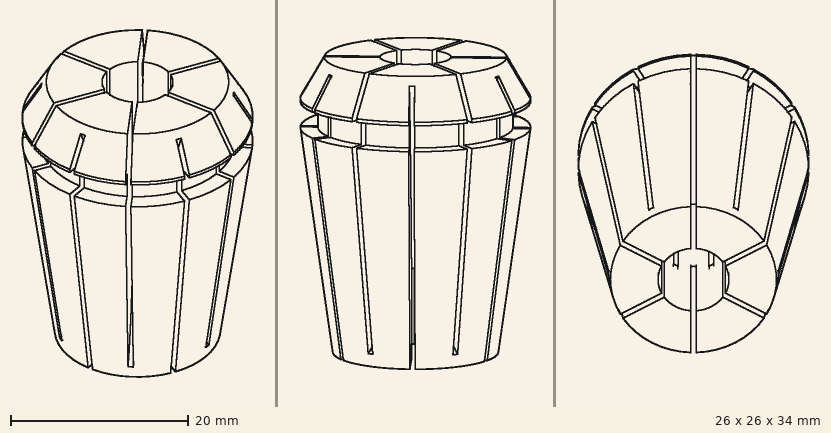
import cadquery as cq
import math

height = 34.0
max_radius = 13.0
bore_radius = 4.0

taper_angle = 8.0
nose_angle = 30.0
groove_bottom_z = 25.9
groove_top_z = 28.9
groove_radius = 11.0
rim_height = 0.4
rim_top_z = groove_top_z + rim_height
small_end_radius = max_radius - groove_bottom_z * math.tan(math.radians(taper_angle))
nose_radius = max_radius - (height - rim_top_z) * math.tan(math.radians(nose_angle))

slot_width = 0.6
slots_per_set = 6
slot_pitch = 360.0 / slots_per_set
slot_reach = max_radius + 2.0
end_clearance = 3.0

nose_slot_arc_radius = 12.5
nose_slot_arc_center_r = 16.3
nose_slot_arc_center_z = 12.05

end_slot_arc_center_z = -2.4
end_slot_bore_z = 10.5
nose_land = 1.0
end_slot_nose_z = height - nose_land
end_slot_nose_r = nose_radius + nose_land * math.tan(math.radians(nose_angle))
bore_rise = end_slot_bore_z - end_slot_arc_center_z
nose_rise = end_slot_nose_z - end_slot_arc_center_z
end_slot_arc_center_r = (
    (end_slot_nose_r**2 + nose_rise**2 - bore_radius**2 - bore_rise**2)
    / (2 * (end_slot_nose_r - bore_radius))
)
end_slot_arc_radius = math.hypot(end_slot_arc_center_r - bore_radius, bore_rise)


def make_body():
    """Revolved collet blank with its through bore."""
    profile = [
        (bore_radius, 0),
        (small_end_radius, 0),
        (max_radius, groove_bottom_z),
        (groove_radius, groove_bottom_z),
        (groove_radius, groove_top_z),
        (max_radius, groove_top_z),
        (max_radius, rim_top_z),
        (nose_radius, height),
        (bore_radius, height),
    ]
    return cq.Workplane("XZ").polyline(profile).close().revolve(360, (0, 0), (0, 1))


def make_slot(center_r, center_z, radius, direction):
    """Radial cutter along +X with an arc end, open toward direction (+1 up, -1 down) on Z."""
    inner_r = center_r - radius
    open_z = height + end_clearance if direction > 0 else -end_clearance
    middle_r = (inner_r + slot_reach) / 2

    def arc_z(r):
        return center_z - direction * math.sqrt(radius**2 - (center_r - r) ** 2)

    return (
        cq.Workplane("XZ")
        .moveTo(inner_r, open_z)
        .lineTo(inner_r, center_z)
        .threePointArc((middle_r, arc_z(middle_r)), (slot_reach, arc_z(slot_reach)))
        .lineTo(slot_reach, open_z)
        .close()
        .extrude(slot_width / 2, both=True)
    )


def cut_slots(body, slot, first_angle):
    """Cut one set of slots, evenly spaced around the axis."""
    for index in range(slots_per_set):
        angle = first_angle + index * slot_pitch
        body = body.cut(slot.rotate((0, 0, 0), (0, 0, 1), angle))
    return body


nose_slot = make_slot(nose_slot_arc_center_r, nose_slot_arc_center_z, nose_slot_arc_radius, 1)
end_slot = make_slot(end_slot_arc_center_r, end_slot_arc_center_z, end_slot_arc_radius, -1)

result = make_body()
result = cut_slots(result, nose_slot, 0)
result = cut_slots(result, end_slot, slot_pitch / 2)